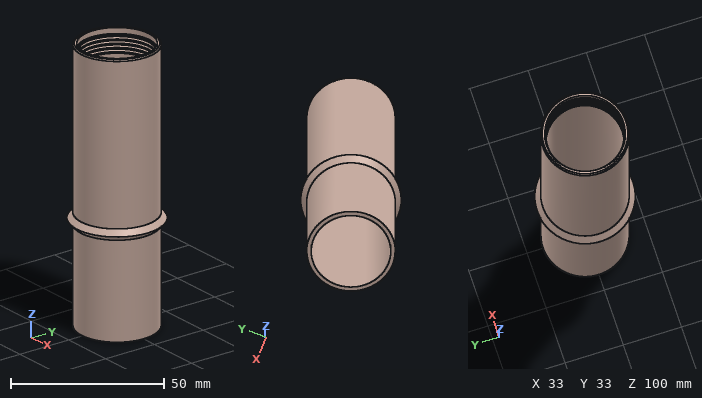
import cadquery as cq

length = 100.0
outer_radius = 29.0 / 2
bore_radius = 26.0 / 2
rim_chamfer = 0.5

collar_radius = 33.0 / 2
collar_height = 38.2
collar_half_width = collar_radius - outer_radius

entry_radius = 26.3 / 2
root_radius = 27.2 / 2
first_crest_depth = 2.4
crest_radius = 25.5 / 2
crest_width = 0.4
ring_pitch = 1.5
ring_count = 5
flank_slope = (ring_pitch - crest_width) / 2 / (root_radius - crest_radius)


def make_profile():
    """Half section of the tube in the XZ plane, up the outside and down the inside."""
    profile = (
        cq.Workplane("XZ")
        .moveTo(bore_radius, 0)
        .lineTo(outer_radius, 0)
        .lineTo(outer_radius, collar_height - collar_half_width)
        .lineTo(collar_radius, collar_height)
        .lineTo(outer_radius, collar_height + collar_half_width)
        .lineTo(outer_radius, length - rim_chamfer)
        .lineTo(outer_radius - rim_chamfer, length)
        .lineTo(entry_radius, length)
    )
    for ring in range(ring_count):
        crest_top = length - first_crest_depth - ring * ring_pitch
        crest_bottom = crest_top - crest_width
        flank_radius = entry_radius if ring == 0 else root_radius
        flank_height = (flank_radius - crest_radius) * flank_slope
        profile = (
            profile.lineTo(flank_radius, crest_top + flank_height)
            .lineTo(crest_radius, crest_top)
            .lineTo(crest_radius, crest_bottom)
        )
    runout_height = crest_bottom - (bore_radius - crest_radius)
    return profile.lineTo(bore_radius, runout_height).close()


result = make_profile().revolve(360, (0, 0, 0), (0, 1, 0))